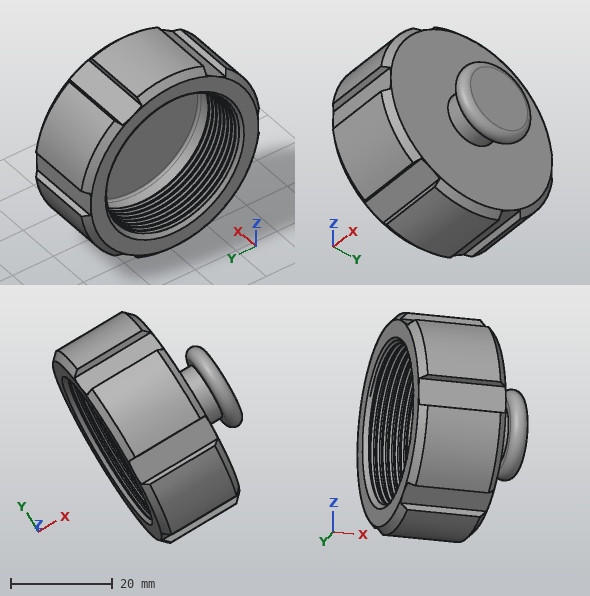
import cadquery as cq
import math

total_length = 26.5
body_length = 18.0
body_radius = 22.0
edge_chamfer = 1.5

notch_count = 6
notch_floor_radius = body_radius - edge_chamfer
notch_floor_width = 5.4
notch_wall_flare = 21.0

bore_radius = 16.0
bore_depth = 14.2
mouth_radius = 17.0
mouth_chamfer = mouth_radius - bore_radius
threaded_length = 10.0
threads_in_length = 8
thread_pitch = threaded_length / threads_in_length
thread_depth = 0.55
groove_fill = 0.92
thread_turns = 8.7
groove_length = thread_turns * thread_pitch

relief_clearance = 0.05
relief_radius = bore_radius + thread_depth + relief_clearance
relief_start = 10.55
floor_fillet = thread_depth

neck_radius = 6.0
lip_radius = 9.0
lip_width = 3.5
lip_round = lip_width / 2


def make_body():
    return (
        cq.Workplane("YZ")
        .circle(body_radius)
        .extrude(body_length)
        .edges("%CIRCLE")
        .chamfer(edge_chamfer)
    )


def make_notches():
    """Flat-bottomed notches with flared walls, the first one on +Y."""
    cut_radius = body_radius + 2 * edge_chamfer
    half_floor = notch_floor_width / 2
    flare = (cut_radius - notch_floor_radius) * math.tan(math.radians(notch_wall_flare))
    half_top = half_floor + flare
    notch = (
        cq.Workplane("YZ")
        .moveTo(notch_floor_radius, -half_floor)
        .lineTo(cut_radius, -half_top)
        .lineTo(cut_radius, half_top)
        .lineTo(notch_floor_radius, half_floor)
        .close()
        .extrude(body_length)
    )
    notches = cq.Workplane("YZ")
    for index in range(notch_count):
        angle = index * 360 / notch_count
        notches = notches.add(notch.rotate((0, 0, 0), (1, 0, 0), angle))
    return notches.combine()


def make_knob():
    """Neck and lip, revolved about X."""
    lip_start = total_length - lip_width
    lip_core = lip_radius - lip_round
    return (
        cq.Workplane("XY")
        .moveTo(body_length - edge_chamfer, 0)
        .lineTo(body_length - edge_chamfer, neck_radius)
        .lineTo(lip_start, neck_radius)
        .lineTo(lip_start, lip_core)
        .threePointArc((lip_start + lip_round, lip_radius), (total_length, lip_core))
        .lineTo(total_length, 0)
        .close()
        .revolve(360, (0, 0, 0), (1, 0, 0))
    )


def make_bore():
    """Bore volume with a flared mouth, and a relief with a rounded floor edge."""
    bore = cq.Workplane("YZ").circle(bore_radius).extrude(bore_depth)
    relief = (
        cq.Workplane("YZ", origin=(relief_start, 0, 0))
        .circle(relief_radius)
        .extrude(bore_depth - relief_start)
        .faces(">X")
        .edges()
        .fillet(floor_fillet)
    )
    mouth = cq.Solid.makeCone(
        mouth_radius, bore_radius, mouth_chamfer, cq.Vector(0, 0, 0), cq.Vector(1, 0, 0)
    )
    return bore.union(relief).union(cq.Workplane(mouth))


def make_thread_groove():
    """Helical V groove, swept about Z and then turned onto the X axis."""
    overlap = 0.18
    half_mouth = groove_fill * thread_pitch / 2
    inner_radius = bore_radius - overlap
    helix = cq.Wire.makeHelix(thread_pitch, groove_length, bore_radius)
    groove = (
        cq.Workplane("XZ")
        .moveTo(inner_radius, -half_mouth)
        .lineTo(bore_radius + thread_depth, 0)
        .lineTo(inner_radius, half_mouth)
        .close()
        .sweep(cq.Workplane(helix), isFrenet=True)
    )
    return groove.rotate((0, 0, 0), (0, 1, 0), 90)


result = make_body().cut(make_notches()).union(make_knob())
result = result.cut(make_bore()).cut(make_thread_groove())